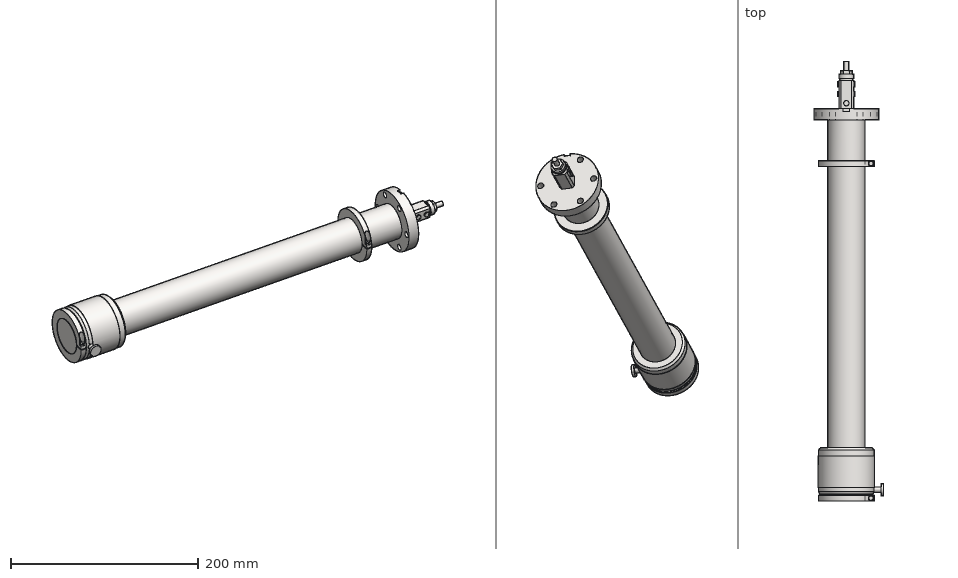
import cadquery as cq


total_length = 470.0

tube_diameter = 40.0
tube_start = 0.5

collar_diameter = 59.5
collar_width = 6.5
collar_chamfer = 0.5
second_collar_start = 358.0
slit_width = 1.0
screw_x = 26.5
screw_pocket_floor = 3.8
screw_pocket_diameter = 5.5
screw_head_diameter = 4.5
screw_head_height = 2.0

cap_diameter = 59.5
cap_start = 7.5
cap_end = 57.5
cap_front_chamfer_length = 3.0
cap_front_chamfer_depth = 1.5
cap_rear_chamfer = 2.5
sleeve_diameter = 60.5
sleeve_start = 14.5
sleeve_end = 48.5

port_center_y = 12.0
port_diameter = 6.0
port_flange_diameter = 13.0
port_flange_start = 37.0
port_end = 40.0

flange_diameter = 69.5
flange_start = 407.5
flange_end = 420.0
bolt_count = 6
bolt_circle_diameter = 59.0
bolt_hole_diameter = 6.5
leak_groove_width = 6.5
leak_groove_length = 3.5
leak_groove_depth = 2.5

block_side = 16.0
block_chamfer = 2.5
block_end = 450.0
block_screw_diameter = 5.5
block_screw_height = 1.5
block_screw_places = [435.5, 445.8]
block_hole_y = 425.5
block_hole_diameter = 5.5
block_hole_depth = 2.5

neck_diameter = 14.0
ring_start = 452.0
ring_diameter = 16.0
nut_start = 456.5
nut_sides = 6
nut_across_corners = 12.5
pin_start = 460.5
pin_diameter = 5.5


def cylinder_y(diameter, start, end):
    """Cylinder on the Y axis between two Y positions."""
    return cq.Workplane("XZ", origin=(0, start, 0)).circle(diameter / 2).extrude(start - end)


def cylinder_x(diameter, start, end, y):
    """Cylinder parallel to X between two X positions."""
    return cq.Workplane("YZ", origin=(start, y, 0)).circle(diameter / 2).extrude(end - start)


def clamp_collar(start):
    """Collar slit on its +X side, with a pocket above the slit for the clamp screw."""
    end = start + collar_width
    middle = start + collar_width / 2
    radius = collar_diameter / 2
    collar = cylinder_y(collar_diameter, start, end).faces(">Y").edges().chamfer(collar_chamfer)
    slit = cq.Workplane("XY").box(radius, collar_width, slit_width, centered=(False, False, True))
    slit = slit.translate((tube_diameter / 2, start, 0))
    pocket_floor = cq.Workplane("XY", origin=(screw_x, middle, screw_pocket_floor))
    pocket = pocket_floor.circle(screw_pocket_diameter / 2).extrude(radius)
    screw_head = pocket_floor.circle(screw_head_diameter / 2).extrude(screw_head_height)
    return collar.cut(slit).cut(pocket).union(screw_head)


def cap():
    """Cap over the tube, chamfered at both ends, with its thin sleeve."""
    body = cylinder_y(cap_diameter, cap_start, cap_end)
    body = body.faces("<Y").chamfer(cap_front_chamfer_length, cap_front_chamfer_depth)
    body = body.faces(">Y").chamfer(cap_rear_chamfer)
    return body.union(cylinder_y(sleeve_diameter, sleeve_start, sleeve_end))


def side_port():
    """Round stem out of the cap on +X, ending in a thin flange."""
    flange = cylinder_x(port_flange_diameter, port_flange_start, port_end, port_center_y)
    stem = cylinder_x(port_diameter, 0, port_end, port_center_y)
    return flange.union(stem)


def bolted_flange():
    """Disc with a ring of bolt holes and a notch at the top of its rear edge."""
    disc = cylinder_y(flange_diameter, flange_start, flange_end)
    bolts = (
        cq.Workplane("XZ", origin=(0, flange_start, 0))
        .polarArray(bolt_circle_diameter / 2, 0, 360, bolt_count)
        .circle(bolt_hole_diameter / 2)
        .extrude(flange_start - flange_end)
    )
    groove = cq.Workplane("XY").box(leak_groove_width, leak_groove_length, leak_groove_depth)
    groove = groove.translate(
        (0, flange_end - leak_groove_length / 2, flange_diameter / 2 - leak_groove_depth / 2)
    )
    return disc.cut(bolts).cut(groove)


def connector_block():
    """Square block with screws on both X sides and a shallow hole on top."""
    block = (
        cq.Workplane("XZ", origin=(0, flange_end, 0))
        .rect(block_side, block_side)
        .extrude(flange_end - block_end)
        .edges("|Y")
        .chamfer(block_chamfer)
    )
    reach = block_side / 2 + block_screw_height
    for y in block_screw_places:
        block = block.union(cylinder_x(block_screw_diameter, -reach, reach, y))
    hole = (
        cq.Workplane("XY", origin=(0, block_hole_y, block_side / 2))
        .circle(block_hole_diameter / 2)
        .extrude(-block_hole_depth)
    )
    return block.cut(hole)


def connector_tip():
    """Neck, ring, hexagonal nut and pin, one behind the other."""
    neck = cylinder_y(neck_diameter, block_end, ring_start)
    ring = cylinder_y(ring_diameter, ring_start, nut_start)
    nut = (
        cq.Workplane("XZ", origin=(0, nut_start, 0))
        .polygon(nut_sides, nut_across_corners)
        .extrude(nut_start - pin_start)
    )
    pin = cylinder_y(pin_diameter, pin_start, total_length)
    return neck.union(ring).union(nut).union(pin)


result = (
    cylinder_y(tube_diameter, tube_start, flange_start)
    .union(clamp_collar(0))
    .union(cap())
    .union(side_port())
    .union(clamp_collar(second_collar_start))
    .union(bolted_flange())
    .union(connector_block())
    .union(connector_tip())
    .cut(cylinder_y(tube_diameter, 0, tube_start))
)